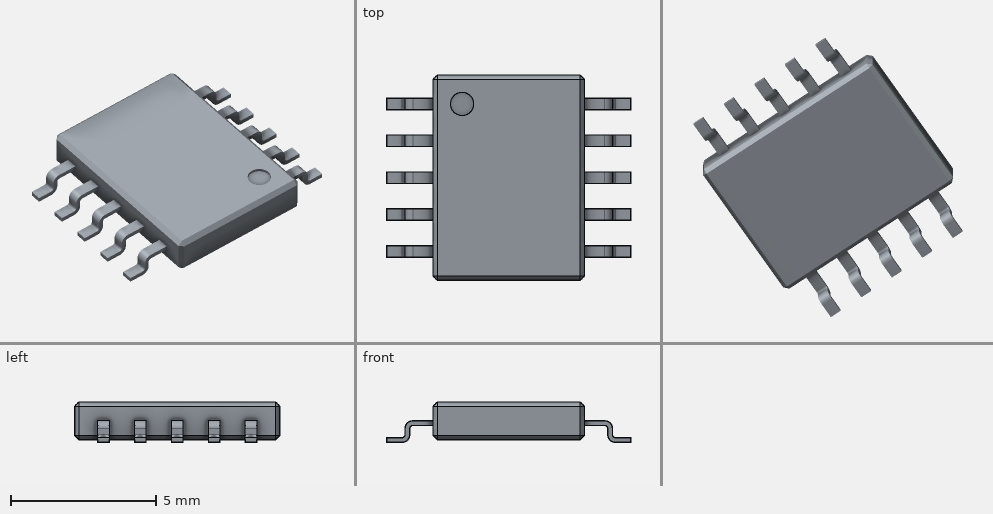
import cadquery as cq

SPAN = 8.42
LENGTH = 7.08
HEIGHT = 1.4

HOUSING_WIDTH = 5.23
STANDOFF = 0.09
CHAMFER = 0.15

LEAD_ROWS = 5
LEAD_PITCH = 1.27
LEAD_WIDTH = 0.4
LEAD_THICKNESS = 0.17
LEAD_TOP = 0.75
FOOT_LENGTH = 0.53
INNER_BEND_RADIUS = 0.1
OUTER_BEND_RADIUS = INNER_BEND_RADIUS + LEAD_THICKNESS

MARK_DIAMETER = 0.8
MARK_X = -1.61
RECESS_DEPTH = 0.1
MARK_THICKNESS = 0.04

FIRST_ROW_Y = LEAD_PITCH * (LEAD_ROWS - 1) / 2


def make_lead(row_y):
    """Gull-wing strip running through the housing, with a foot at each end."""
    tip_x = -SPAN / 2
    lower_bend_x = tip_x + FOOT_LENGTH
    upper_bend_x = lower_bend_x + INNER_BEND_RADIUS + OUTER_BEND_RADIUS
    lower_bend_z = OUTER_BEND_RADIUS
    upper_bend_z = LEAD_TOP - OUTER_BEND_RADIUS
    left_half = (
        cq.Workplane("XZ", origin=(0, row_y + LEAD_WIDTH / 2, 0))
        .moveTo(tip_x, 0)
        .lineTo(lower_bend_x, 0)
        .radiusArc((lower_bend_x + OUTER_BEND_RADIUS, lower_bend_z), -OUTER_BEND_RADIUS)
        .lineTo(upper_bend_x - INNER_BEND_RADIUS, upper_bend_z)
        .radiusArc((upper_bend_x, upper_bend_z + INNER_BEND_RADIUS), INNER_BEND_RADIUS)
        .lineTo(0, LEAD_TOP - LEAD_THICKNESS)
        .lineTo(0, LEAD_TOP)
        .lineTo(upper_bend_x, LEAD_TOP)
        .radiusArc((upper_bend_x - OUTER_BEND_RADIUS, upper_bend_z), -OUTER_BEND_RADIUS)
        .lineTo(lower_bend_x + INNER_BEND_RADIUS, lower_bend_z)
        .radiusArc((lower_bend_x, LEAD_THICKNESS), INNER_BEND_RADIUS)
        .lineTo(tip_x, LEAD_THICKNESS)
        .close()
        .extrude(LEAD_WIDTH)
    )
    return left_half.union(left_half.mirror("YZ")).clean()


def make_mark():
    """Thin disc lying on the floor of the round hole in the top face."""
    floor_z = HEIGHT - RECESS_DEPTH - MARK_THICKNESS
    return (
        cq.Workplane("XY", origin=(MARK_X, FIRST_ROW_Y, floor_z))
        .circle(MARK_DIAMETER / 2)
        .extrude(MARK_THICKNESS)
    )


def make_housing(leads):
    """Chamfered block with a slot for each lead and a round hole for the mark."""
    block = (
        cq.Workplane("XY", origin=(0, 0, STANDOFF))
        .box(HOUSING_WIDTH, LENGTH, HEIGHT - STANDOFF, centered=(True, True, False))
        .edges()
        .chamfer(CHAMFER)
    )
    mark_hole = (
        cq.Workplane("XY", origin=(MARK_X, FIRST_ROW_Y, HEIGHT))
        .circle(MARK_DIAMETER / 2)
        .extrude(-(RECESS_DEPTH + MARK_THICKNESS))
    )
    block = block.cut(mark_hole)
    for lead in leads:
        block = block.cut(lead)
    return block


leads = [make_lead(FIRST_ROW_Y - row * LEAD_PITCH) for row in range(LEAD_ROWS)]
mark = make_mark()
housing = make_housing(leads)

result = cq.Compound.makeCompound([housing.val(), mark.val(), *[lead.val() for lead in leads]])